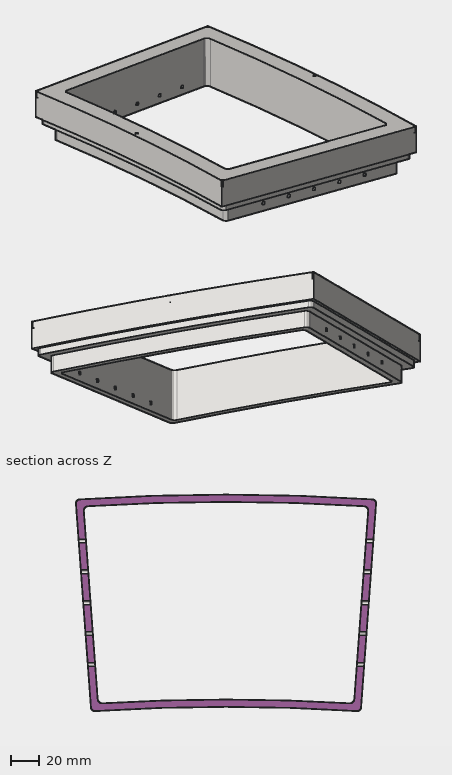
import cadquery as cq
import math

BACK_WIDTH = 233.0
BACK_RADIUS = 1584.0
RADIAL_DEPTH = 168.9
FRONT_CORNER_Y = -86.2

RIM_HEIGHT = 20.0
LEDGE_HEIGHT = 5.0
SKIRT_HEIGHT = 12.0
LEDGE_INSET = 2.5
SKIRT_INSET = 9.0
WALL_THICKNESS = 14.5
STEP_CORNER_RADIUS = 3.0
OPENING_CORNER_RADIUS = 3.0

TOP_HOLE_DIAMETER = 2.0
TOP_HOLE_DEPTH = 5.0
BACK_HOLE_EDGE_DISTANCE = 2.0
FRONT_HOLE_EDGE_DISTANCE = 3.5

CORNER_HOLE_DIAMETER = 1.2
CORNER_HOLE_INSET = 1.0

SIDE_HOLE_DIAMETER = 2.3
SIDE_HOLE_COUNT = 5
SIDE_HOLE_PITCH = 22.0
SIDE_HOLE_ROW_CENTER = 0.7

TOTAL_HEIGHT = RIM_HEIGHT + LEDGE_HEIGHT + SKIRT_HEIGHT
FRONT_RADIUS = BACK_RADIUS - RADIAL_DEPTH
HALF_ANGLE = math.asin(BACK_WIDTH / 2 / BACK_RADIUS)
ARC_CENTER_Y = FRONT_CORNER_Y - FRONT_RADIUS * math.cos(HALF_ANGLE)


def sector_point(radius, angle):
    """Point at a radius from the arc centre, with the angle measured from +Y towards +X."""
    return (radius * math.sin(angle), ARC_CENTER_Y + radius * math.cos(angle))


def corner_angle(radius, inset):
    """Angle, at a radius, of a line running parallel to a short side at the inset from it."""
    return HALF_ANGLE - math.asin(inset / radius)


def bowed_block(inset, bottom, height):
    """Upright solid on the frame outline moved inwards by the inset on all four sides."""
    front = FRONT_RADIUS + inset
    back = BACK_RADIUS - inset
    front_angle = corner_angle(front, inset)
    back_angle = corner_angle(back, inset)
    return (
        cq.Workplane("XY", origin=(0, 0, bottom))
        .moveTo(*sector_point(front, -front_angle))
        .threePointArc(sector_point(front, 0), sector_point(front, front_angle))
        .lineTo(*sector_point(back, back_angle))
        .threePointArc(sector_point(back, 0), sector_point(back, -back_angle))
        .close()
        .extrude(height)
    )


def rounded_block(inset, bottom, height, corner_radius):
    """Inset block with its four upright corners rounded."""
    return bowed_block(inset, bottom, height).edges("|Z").fillet(corner_radius)


def stepped_body():
    """Sharp-cornered rim above a rounded ledge and a rounded skirt."""
    ledge_bottom = SKIRT_HEIGHT
    rim_bottom = SKIRT_HEIGHT + LEDGE_HEIGHT
    skirt = rounded_block(SKIRT_INSET, 0, SKIRT_HEIGHT, STEP_CORNER_RADIUS)
    ledge = rounded_block(LEDGE_INSET, ledge_bottom, LEDGE_HEIGHT, STEP_CORNER_RADIUS)
    rim = bowed_block(0, rim_bottom, RIM_HEIGHT)
    return rim.union(ledge).union(skirt)


def top_holes(centers, diameter):
    """Blind holes drilled down from the top face at the given places."""
    return (
        cq.Workplane("XY", origin=(0, 0, TOTAL_HEIGHT))
        .pushPoints(centers)
        .circle(diameter / 2)
        .extrude(-TOP_HOLE_DEPTH)
    )


def middle_holes():
    """Top holes at the middle of the back and front sides."""
    back_hole = sector_point(BACK_RADIUS - BACK_HOLE_EDGE_DISTANCE, 0)
    front_hole = sector_point(FRONT_RADIUS + FRONT_HOLE_EDGE_DISTANCE, 0)
    return top_holes([back_hole, front_hole], TOP_HOLE_DIAMETER)


def corner_holes():
    """Top holes at the four corners, leaving a thin skin of rim around them."""
    centers = []
    for radius in (BACK_RADIUS - CORNER_HOLE_INSET, FRONT_RADIUS + CORNER_HOLE_INSET):
        angle = corner_angle(radius, CORNER_HOLE_INSET)
        centers.append(sector_point(radius, -angle))
        centers.append(sector_point(radius, angle))
    return top_holes(centers, CORNER_HOLE_DIAMETER)


def side_holes():
    """Cross holes along X at mid-height of the skirt."""
    return (
        cq.Workplane("YZ", origin=(0, SIDE_HOLE_ROW_CENTER, SKIRT_HEIGHT / 2))
        .rarray(SIDE_HOLE_PITCH, 2.3, SIDE_HOLE_COUNT, 1)
        .circle(SIDE_HOLE_DIAMETER / 2)
        .extrude(BACK_WIDTH / 2, both=True)
    )


opening = rounded_block(WALL_THICKNESS, 0, TOTAL_HEIGHT, OPENING_CORNER_RADIUS)
result = stepped_body().cut(opening).cut(middle_holes()).cut(corner_holes()).cut(side_holes())